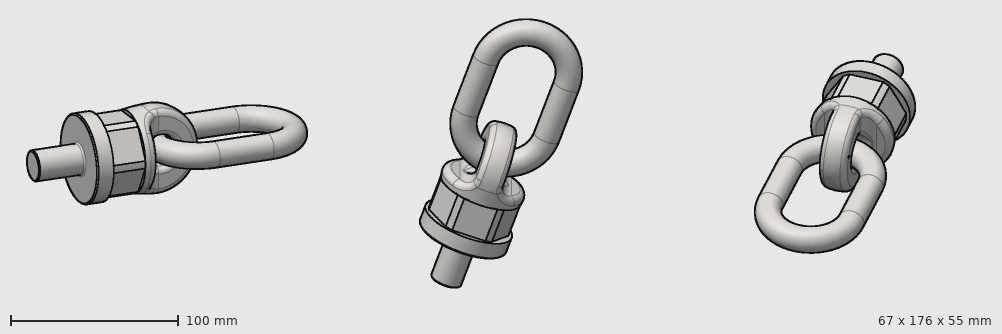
import cadquery as cq
import math


LINK_WIRE_DIAMETER = 16.0
LINK_WIDTH = 67.0
LINK_STRAIGHT = 35.2
LINK_TOP_Y = 146.0

STUD_DIAMETER = 19.0
STUD_LENGTH = 30.0
STUD_TIP_CHAMFER = 0.7
STUD_ROOT_FILLET = 1.0
FLANGE_DIAMETER = 55.0
FLANGE_THICKNESS = 10.7
FLANGE_CHAMFER = 0.9
HEX_ACROSS_FLATS = 46.0
HEX_CORNER_DIAMETER = 50.5
HEX_LENGTH = 21.6

HEAD_BASE_DIAMETER = 50.9
BALL_RADIUS = 27.5
BALL_CENTER_HEIGHT = 15.7
CONE_TOP_DROP = 5.3
SHOULDER_HEIGHT = 8.0
EYE_THICKNESS = 17.0
EYE_DIAMETER = 20.0
EYE_OFFSET = 2.6
EDGE_FILLET = 4.0
EYE_FILLET = 3.7

MARK_DIAMETER = 1.13
MARK_DEPTH = 0.5
MARK_ABOVE_BALL_CENTER = 19.0
MARK_Z = 9.0

TOLERANCE = 0.002

HEAD_BASE_Y = FLANGE_THICKNESS + HEX_LENGTH
BALL_CENTER_Y = HEAD_BASE_Y + BALL_CENTER_HEIGHT
SHOULDER_Y = HEAD_BASE_Y + SHOULDER_HEIGHT
EYE_Y = BALL_CENTER_Y + EYE_OFFSET

CUT_LENGTH = 2 * BALL_RADIUS


def y_plane(y):
    """Plane across the swivel axis at height y, with its normal along +Y."""
    return cq.Plane(origin=(0, y, 0), xDir=(1, 0, 0), normal=(0, 1, 0))


def make_link():
    bend_radius = (LINK_WIDTH - LINK_WIRE_DIAMETER) / 2
    upper_y = LINK_TOP_Y - LINK_WIDTH / 2
    lower_y = upper_y - LINK_STRAIGHT
    center_line = (
        cq.Workplane("XY")
        .moveTo(bend_radius, lower_y)
        .lineTo(bend_radius, upper_y)
        .threePointArc((0, upper_y + bend_radius), (-bend_radius, upper_y))
        .lineTo(-bend_radius, lower_y)
        .threePointArc((0, lower_y - bend_radius), (bend_radius, lower_y))
        .close()
    )
    wire_section = cq.Workplane(y_plane(lower_y)).center(bend_radius, 0).circle(LINK_WIRE_DIAMETER / 2)
    return wire_section.sweep(center_line)


def is_stud_root_edge(edge):
    """True for the circle where the stud leaves the seating face."""
    if edge.geomType() != "CIRCLE":
        return False
    return abs(edge.Center().y) < TOLERANCE and abs(edge.radius() - STUD_DIAMETER / 2) < TOLERANCE


def make_base():
    flange = (
        cq.Workplane(y_plane(0))
        .circle(FLANGE_DIAMETER / 2)
        .extrude(FLANGE_THICKNESS)
        .faces("<Y")
        .chamfer(FLANGE_CHAMFER)
    )
    stud = (
        cq.Workplane(y_plane(0))
        .circle(STUD_DIAMETER / 2)
        .extrude(-STUD_LENGTH)
        .faces("<Y")
        .chamfer(STUD_TIP_CHAMFER)
    )
    hex_plane = y_plane(FLANGE_THICKNESS)
    sharp_corner_diameter = HEX_ACROSS_FLATS / math.cos(math.pi / 6)
    hexagon = cq.Workplane(hex_plane).polygon(6, sharp_corner_diameter).extrude(HEX_LENGTH)
    corner_cylinder = cq.Workplane(hex_plane).circle(HEX_CORNER_DIAMETER / 2).extrude(HEX_LENGTH)
    base = flange.union(stud).union(hexagon.intersect(corner_cylinder))
    return base.edges().filter(is_stud_root_edge).fillet(STUD_ROOT_FILLET)


def make_ball_and_cone():
    cone_top_y = BALL_CENTER_Y - CONE_TOP_DROP
    cone_top_radius = math.sqrt(BALL_RADIUS**2 - CONE_TOP_DROP**2)
    arc_middle = BALL_RADIUS * math.sqrt(0.5)
    return (
        cq.Workplane("XY")
        .moveTo(0, HEAD_BASE_Y)
        .lineTo(HEAD_BASE_DIAMETER / 2, HEAD_BASE_Y)
        .lineTo(cone_top_radius, cone_top_y)
        .threePointArc((arc_middle, BALL_CENTER_Y + arc_middle), (0, BALL_CENTER_Y + BALL_RADIUS))
        .close()
        .revolve(360, (0, 0, 0), (0, 1, 0))
    )


def make_side_cutter(side):
    """Space beside the eye on one side (+1 or -1 in X), with a concave corner onto the shoulder."""
    face_x = side * EYE_THICKNESS / 2
    corner_radius = BALL_CENTER_Y - SHOULDER_Y
    corner_x = face_x + side * corner_radius
    corner_middle = corner_radius * math.sqrt(0.5)
    outer_x = side * CUT_LENGTH
    top_y = BALL_CENTER_Y + CUT_LENGTH
    return (
        cq.Workplane("XY")
        .moveTo(face_x, top_y)
        .lineTo(face_x, BALL_CENTER_Y)
        .threePointArc(
            (corner_x - side * corner_middle, BALL_CENTER_Y - corner_middle),
            (corner_x, SHOULDER_Y),
        )
        .lineTo(outer_x, SHOULDER_Y)
        .lineTo(outer_x, top_y)
        .close()
        .extrude(CUT_LENGTH, both=True)
    )


def make_eye_hole():
    start = (-CUT_LENGTH / 2, EYE_Y, 0)
    return cq.Workplane("YZ", origin=start).circle(EYE_DIAMETER / 2).extrude(CUT_LENGTH)


def make_mark():
    """Small round blind hole in the -X face of the eye."""
    center = (-EYE_THICKNESS / 2, BALL_CENTER_Y + MARK_ABOVE_BALL_CENTER, MARK_Z)
    return (
        cq.Workplane("YZ", origin=center)
        .circle(MARK_DIAMETER / 2)
        .extrude(MARK_DEPTH)
    )


def is_rim_edge(edge):
    """True for the curved edges between a side recess and the outside of the head."""
    return edge.geomType() != "LINE" and abs(edge.Center().x) > EYE_THICKNESS / 2 - TOLERANCE


def is_eye_mouth_edge(edge):
    """True for the curved edges where the eye hole opens into a side recess."""
    if edge.geomType() == "LINE":
        return False
    point = edge.positionAt(0.5)
    return abs(math.hypot(point.y - EYE_Y, point.z) - EYE_DIAMETER / 2) < TOLERANCE


def make_head():
    head = make_ball_and_cone()
    for side in (1, -1):
        head = head.cut(make_side_cutter(side))
    head = head.edges().filter(is_rim_edge).fillet(EDGE_FILLET)
    head = head.cut(make_eye_hole())
    head = head.edges().filter(is_eye_mouth_edge).fillet(EYE_FILLET)
    return head.cut(make_mark())


link = make_link()
base = make_base()
head = make_head()
result = cq.Compound.makeCompound([link.val(), base.val(), head.val()])